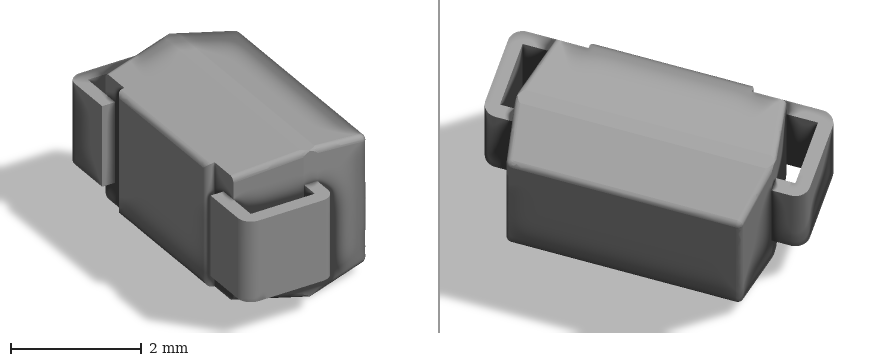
import cadquery as cq
import math

BELT_LENGTH = 4.12
BELT_HEIGHT = 2.6
BELT_FRONT = 1.37
BELT_BACK = 1.615
BODY_FRONT = 0.095
BODY_BACK = 2.62
DRAFT_ANGLE = 10.0
EDGE_RADIUS = 0.095
PAD_LENGTH = 2.62

LEAD_SPAN = 5.2
LEAD_WIDTH = 1.43
LEAD_THICKNESS = 0.235
LEAD_BEND_RADIUS = 0.235
LEAD_GAP = 3.15
LEAD_EMBED = 0.26


def box_between(x_range, y_range, height):
    """Box over the given X and Y ranges, centred on Z = 0."""
    x_size = x_range[1] - x_range[0]
    y_size = y_range[1] - y_range[0]
    box = cq.Workplane("XY").box(x_size, y_size, height)
    return box.translate((sum(x_range) / 2, sum(y_range) / 2, 0))


def tapered_half(belt_edge, end):
    """Body from the middle of the belt to one end face, with rounded sloping corners."""
    middle = (BELT_FRONT + BELT_BACK) / 2
    slope = math.tan(math.radians(DRAFT_ANGLE))
    growth = 2 * abs(middle - belt_edge) * slope
    shrink = 2 * abs(end - belt_edge) * slope
    taper = (
        cq.Workplane("XZ", origin=(0, middle, 0))
        .rect(BELT_LENGTH + growth, BELT_HEIGHT + growth)
        .workplane(offset=middle - end)
        .rect(BELT_LENGTH - shrink, BELT_HEIGHT - shrink)
        .loft(ruled=True)
    )
    taper = taper.edges("not(#Y)").fillet(EDGE_RADIUS)

    half_length = BELT_LENGTH / 2
    belt = box_between((-half_length, half_length), sorted((middle, end)), BELT_HEIGHT)
    return taper.intersect(belt)


def make_back():
    return tapered_half(BELT_BACK, BODY_BACK).faces(">Y").edges().fillet(EDGE_RADIUS)


def make_front():
    """Front half, with both ends stepped back to leave a raised central pad."""
    front = tapered_half(BELT_FRONT, BODY_FRONT)
    half_length = BELT_LENGTH / 2
    half_pad = PAD_LENGTH / 2
    for x_range in ((-half_length, -half_pad), (half_pad, half_length)):
        front = front.cut(box_between(x_range, (BODY_FRONT, LEAD_THICKNESS), BELT_HEIGHT))
    return front.faces("<Y").edges().fillet(EDGE_RADIUS)


def make_lead():
    """Left-hand lead: leaves the belt, bends forward and folds under the body."""
    outer_x = -LEAD_SPAN / 2
    belt_x = -BELT_LENGTH / 2
    strip_x = outer_x + LEAD_THICKNESS
    strip = box_between((outer_x, -LEAD_GAP / 2), (0, BELT_BACK), LEAD_WIDTH)
    strip = strip.edges("|Z and <X").fillet(LEAD_BEND_RADIUS)
    opening = box_between((strip_x, 0), (LEAD_THICKNESS, BELT_BACK - LEAD_THICKNESS), LEAD_WIDTH)
    beyond = box_between((belt_x + LEAD_EMBED, 0), (LEAD_THICKNESS, BELT_BACK), LEAD_WIDTH)
    return strip.cut(opening).cut(beyond)


lead = make_lead()
result = make_front().union(make_back()).union(lead).union(lead.mirror("YZ"))